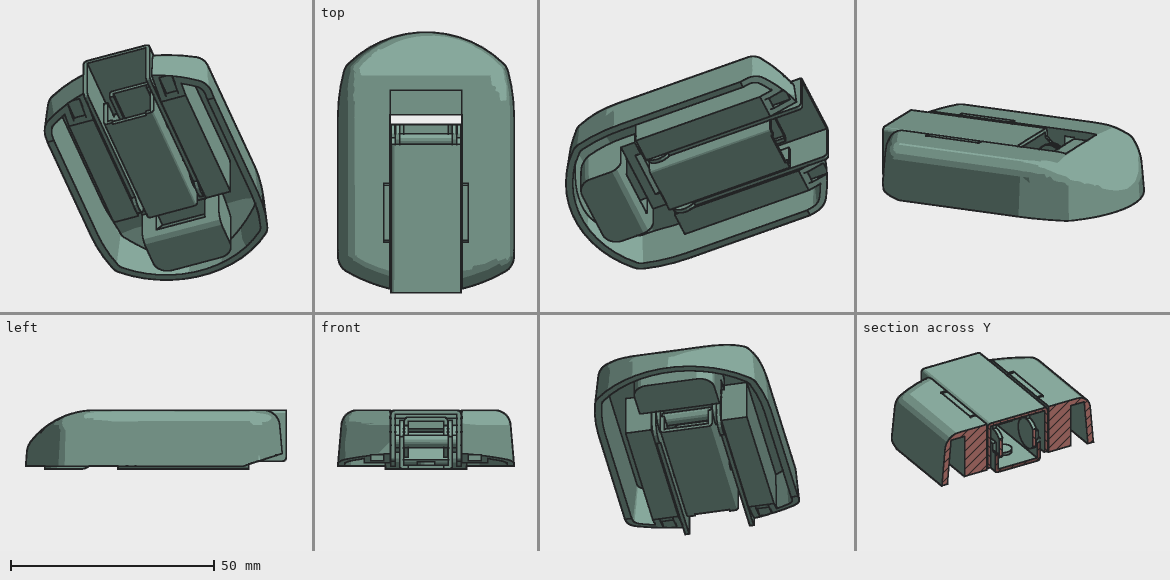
import cadquery as cq
import math

HALF_WIDTH = 21.7
HEIGHT = 13.75
NOSE_Y = 21.1
FRONT_Y = -43.3
SIDE_FRONT_Y = -33.8
DRAFT = 5.0
NOSE_R = 27.3
FRONT_R = 38.0
REAR_SIDE_R = 44.0
CORNER_R = 4.4
CAVITY_CORNER_R = 3.0
TOP_EDGE_R = 4.0
NOSE_DROP_R = 20.0
NOSE_DROP_Y = 4.0
WALL = 1.7
FRONT_CUT_Y = -32.5
FRONT_CUT_ANGLE = 18.0
MARGIN = 5.0

CHANNEL_HALF = 8.8
LIP_Y = 0.75
FLOOR_REAR_Y = 6.8
FLOOR_Z = 11.7
LIP_BOTTOM_Z = 9.2
RAIL_OUTER = 15.2
RAIL_REAR_Y = -1.8
RAIL_BOTTOM_Z = 0.8
RAIL_POCKET_INNER = 10.37
RAIL_POCKET_OUTER = 13.6
RAIL_POCKET_BOTTOM_Z = 1.35
RAIL_POCKET_TOP_Z = 2.75
RAIL_POCKET_END_Y = -30.0
FOOT_BOTTOM_Z = -0.75
FOOT_HALF = 10.0
FOOT_FRONT_Y = 4.45
FOOT_REAR_Y = 16.4
FOOT_CORNER_R = 3.7
FOOT_EDGE_R = 3.0
RAMP_HALF = 6.3
RAMP_BOTTOM_Z = 1.4
RAMP_TOP_Z = 8.1
RAMP_TOP_Y = 9.0
LIP_SLANT_Z = 8.4
LIP_SLANT_Y = 2.2

LUG_OUTER = RAIL_POCKET_INNER
LUG_REAR_Y = -16.1
LUG_FRONT_Y = -30.5
LUG_DEPTH = 2.0
LUG_EDGE = 0.4

SHEET = 1.0
PIN_R = 1.55
FRONT_PIN_Z = 6.05
REAR_PIN_Y = -5.45
REAR_PIN_Z = 6.7
FRONT_PIN_Y = -24.0
EAR_Y = -4.9
EAR_R = 3.3

LEVER_HALF = 8.6
LEVER_FRONT_Y = -43.0
LEVER_TOP_REAR_Y = -6.5
LEVER_BOTTOM_Z = 1.15
LEVER_EDGE_R = 1.0
LEVER_LOBE_BOTTOM_Z = -0.1

STRAP_HALF = 6.5
STRAP_BEND_Z = 5.4
STRAP_NOTCH_HALF = 4.35
STRAP_NOTCH_DEPTH = 0.5
STRAP_FRONT_Y = SIDE_FRONT_Y
STRAP_ARM_REAR_Y = -12.0
STRAP_ARM_Z = 7.15
STRAP_ARM_EAR_R = 5.15
STRAP_EDGE_R = 0.9
RIVET_R = 2.15
RIVET_HEIGHT = 0.8
RIVET_Y = -18.0

LINER_HALF = 5.3
LINER_TOP_Z = 12.0
LINER_LEG_Z = 10.0
LINER_FRONT_Y = -33.0
LINER_EAR_Y = -14.0
LINER_EAR_R = 3.95
LINER_EDGE_R = 0.8


def block(x0, x1, y0, y1, z0, z1):
    """Box between two opposite corners."""
    return cq.Workplane("XY").box(x1 - x0, y1 - y0, z1 - z0, centered=False).translate((x0, y0, z0))


def mirrored(body):
    """Body together with its mirror image across the YZ plane."""
    return body.union(body.mirror("YZ"))


def side_plate(outline, x_inner):
    """One sheet cut to a YZ outline, standing on the +X side."""
    return outline.extrude(SHEET).translate((x_inner, 0, 0))


def disc(y, z, radius, x0, x1):
    """Round bar along X."""
    return cq.Workplane("YZ").center(y, z).circle(radius).extrude(x1 - x0).translate((x0, 0, 0))


def drafted_prism(inset, corner_r, height):
    """Plan outline, moved in by `inset` and extruded up with the wall draft."""
    half = HALF_WIDTH - inset
    nose_r = NOSE_R - inset
    front_r = FRONT_R - inset
    side_r = REAR_SIDE_R - inset
    nose_centre = NOSE_Y - NOSE_R
    front_centre = FRONT_Y + FRONT_R
    side_centre = HALF_WIDTH - REAR_SIDE_R

    gap = math.hypot(side_centre, nose_centre)
    along = (side_r**2 - nose_r**2 + gap**2) / (2 * gap)
    off = math.sqrt(side_r**2 - along**2)
    dir_x = -side_centre / gap
    dir_y = nose_centre / gap
    rear_x = side_centre + along * dir_x - off * dir_y
    rear_y = along * dir_y + off * dir_x
    side_angle = math.asin(rear_y / side_r) / 2
    side_mid = (side_centre + side_r * math.cos(side_angle), side_r * math.sin(side_angle))
    corner_y = front_centre - math.sqrt(front_r**2 - half**2)

    outline = (
        cq.Workplane("XY")
        .moveTo(half, corner_y)
        .lineTo(half, 0)
        .threePointArc(side_mid, (rear_x, rear_y))
        .threePointArc((0, NOSE_Y - inset), (-rear_x, rear_y))
        .threePointArc((-side_mid[0], side_mid[1]), (-half, 0))
        .lineTo(-half, corner_y)
        .threePointArc((0, FRONT_Y + inset), (half, corner_y))
        .close()
    )
    sharp = outline.extrude(1.0)
    corners = sharp.edges("|Z").edges(cq.selectors.BoxSelector(
        (-2 * half, LIP_Y, -1), (2 * half, NOSE_Y, 2)))
    rounded = corners.fillet(corner_r)
    corners = rounded.edges("|Z").edges(cq.selectors.BoxSelector(
        (-2 * half, FRONT_Y, -1), (2 * half, SIDE_FRONT_Y + inset, 2)))
    rounded = corners.fillet(corner_r)
    base = rounded.faces("<Z").wires().val()
    return cq.Workplane(cq.Solid.extrudeLinear(base, [], cq.Vector(0, 0, height), DRAFT))


def nose_curve(body, inset):
    """Round the top of the body down towards the nose."""
    top = HEIGHT - inset
    radius = NOSE_DROP_R - inset
    drop = radius - math.sqrt(radius**2 - (NOSE_Y - NOSE_DROP_Y) ** 2)
    diagonal = math.radians(45)
    cutter = (
        cq.Workplane("YZ")
        .moveTo(NOSE_DROP_Y, top)
        .threePointArc(
            (NOSE_DROP_Y + radius * math.sin(diagonal), top - radius * (1 - math.cos(diagonal))),
            (NOSE_Y, top - drop),
        )
        .lineTo(NOSE_Y + MARGIN, top - drop)
        .lineTo(NOSE_Y + MARGIN, top + MARGIN)
        .lineTo(NOSE_DROP_Y, top + MARGIN)
        .close()
        .extrude(HALF_WIDTH + MARGIN, both=True)
    )
    return body.cut(cutter)


def make_shell_shape():
    """Outer body with its rounded upper edge."""
    body = nose_curve(drafted_prism(0, CORNER_R, HEIGHT), 0)
    top = body.faces(">Z").val()
    slope = body.faces(cq.selectors.NearestToPointSelector((0, 12.0, HEIGHT - 1.6))).val()
    shared = [e for e in top.Edges() if any(e.isSame(o) for o in slope.Edges())]
    rim = [e for e in top.Edges() + slope.Edges() if not any(e.isSame(o) for o in shared)]
    return body.newObject(rim).fillet(TOP_EDGE_R)


def make_foot():
    """Rear block with the foot under the rim, the floor lip and the ramp below it."""
    foot = block(-FOOT_HALF, FOOT_HALF, FOOT_FRONT_Y, FOOT_REAR_Y, FOOT_BOTTOM_Z, HEIGHT)
    foot = foot.edges("|Z and >Y").fillet(FOOT_CORNER_R)
    foot = foot.edges("<Y and <Z").fillet(FOOT_EDGE_R)
    lip = block(-FOOT_HALF, FOOT_HALF, LIP_Y, FOOT_FRONT_Y, LIP_SLANT_Z, HEIGHT)
    recess = (
        cq.Workplane("YZ")
        .polyline([
            (LIP_Y, LIP_SLANT_Z),
            (LIP_Y, LIP_BOTTOM_Z),
            (LIP_SLANT_Y, LIP_SLANT_Z),
            (RAMP_TOP_Y, RAMP_TOP_Z),
            (FOOT_FRONT_Y, RAMP_BOTTOM_Z),
            (LIP_Y, RAMP_BOTTOM_Z),
        ])
        .close()
        .extrude(RAMP_HALF, both=True)
    )
    return foot.union(lip).cut(recess)


def make_housing():
    outer = make_shell_shape()
    cavity = nose_curve(drafted_prism(WALL, CAVITY_CORNER_R, HEIGHT - WALL), WALL)

    rails = block(-RAIL_OUTER, RAIL_OUTER, FRONT_Y, RAIL_REAR_Y, RAIL_BOTTOM_Z, HEIGHT)
    foot = make_foot()
    above_foot = block(-FOOT_HALF, FOOT_HALF, LIP_Y, NOSE_Y, 0, HEIGHT)
    tongue = foot.cut(block(-FOOT_HALF, FOOT_HALF, LIP_Y, NOSE_Y, 0, HEIGHT))
    body = outer.cut(cavity.cut(rails).cut(foot.intersect(above_foot)))
    body = body.union(tongue)

    channel = block(-CHANNEL_HALF, CHANNEL_HALF, FRONT_Y - MARGIN, LIP_Y, -MARGIN, HEIGHT + MARGIN)
    floor = block(-CHANNEL_HALF, CHANNEL_HALF, LIP_Y, FLOOR_REAR_Y, FLOOR_Z, HEIGHT + MARGIN)
    body = body.cut(channel).cut(floor)

    reach = NOSE_Y - FRONT_Y
    body = body.cut(
        cq.Workplane("YZ")
        .polyline([
            (FRONT_CUT_Y, 0),
            (FRONT_CUT_Y - reach, reach * math.tan(math.radians(FRONT_CUT_ANGLE))),
            (FRONT_CUT_Y - reach, -MARGIN),
            (FRONT_CUT_Y, -MARGIN),
        ])
        .close()
        .extrude(HALF_WIDTH + MARGIN, both=True)
    )
    pocket = block(
        RAIL_POCKET_INNER, RAIL_POCKET_OUTER, FRONT_Y - MARGIN, RAIL_POCKET_END_Y,
        RAIL_POCKET_BOTTOM_Z, RAIL_POCKET_TOP_Z,
    )
    slot = block(CHANNEL_HALF, LUG_OUTER, LUG_FRONT_Y, LUG_REAR_Y, HEIGHT - LUG_DEPTH, HEIGHT)
    return body.cut(mirrored(pocket)).cut(mirrored(slot))


def make_lug(side):
    """Flush insert in one top slot; its upper ends are bevelled."""
    lug = block(CHANNEL_HALF, LUG_OUTER, LUG_FRONT_Y, LUG_REAR_Y, HEIGHT - LUG_DEPTH, HEIGHT)
    lug = lug.faces(">Z").edges("|X").chamfer(LUG_EDGE)
    return lug if side > 0 else lug.mirror("YZ")


def make_lever():
    """Inverted channel with a rounded lobe around the rear pin on each side."""
    lever = block(-LEVER_HALF, LEVER_HALF, LEVER_FRONT_Y, LEVER_TOP_REAR_Y, LEVER_BOTTOM_Z, HEIGHT)
    lever = lever.edges("|Y and >Z").fillet(LEVER_EDGE_R)
    lever = lever.edges("|X and <Y and <Z").fillet(LEVER_EDGE_R)
    inner = LEVER_HALF - SHEET
    lever = lever.cut(block(
        -inner, inner, LEVER_FRONT_Y, LEVER_TOP_REAR_Y, LEVER_BOTTOM_Z, HEIGHT - SHEET))

    lobe_z = LEVER_LOBE_BOTTOM_Z + EAR_R
    lobe = disc(EAR_Y, REAR_PIN_Z, EAR_R, inner, LEVER_HALF)
    lobe = lobe.union(disc(EAR_Y, lobe_z, EAR_R, inner, LEVER_HALF))
    lobe = lobe.union(block(inner, LEVER_HALF, EAR_Y - EAR_R, EAR_Y + EAR_R, lobe_z, REAR_PIN_Z))
    ear_top_z = REAR_PIN_Z + EAR_R
    neck = side_plate(
        cq.Workplane("YZ")
        .polyline([
            (EAR_Y, ear_top_z),
            (LEVER_TOP_REAR_Y, ear_top_z + EAR_Y - LEVER_TOP_REAR_Y),
            (LEVER_TOP_REAR_Y, REAR_PIN_Z),
            (EAR_Y, REAR_PIN_Z),
        ])
        .close(),
        inner,
    )
    lever = lever.union(mirrored(lobe.union(neck)))
    return lever.cut(make_pin(REAR_PIN_Y, REAR_PIN_Z, LEVER_HALF))


def make_strap():
    """Channel opening upwards: arms around the front pin, rear ears bent outwards."""
    base_top = FOOT_BOTTOM_Z + SHEET
    rear_y = EAR_Y + EAR_R
    inner = STRAP_HALF - SHEET
    bend_z = STRAP_BEND_Z
    strap = block(-STRAP_HALF, STRAP_HALF, STRAP_FRONT_Y, rear_y, FOOT_BOTTOM_Z, STRAP_ARM_Z)
    strap = strap.edges("|Y and <Z").fillet(STRAP_EDGE_R)
    strap = strap.cut(block(
        -STRAP_HALF, STRAP_HALF, STRAP_ARM_REAR_Y, rear_y, bend_z, STRAP_ARM_Z))
    strap = strap.union(disc(FRONT_PIN_Y, FRONT_PIN_Z, STRAP_ARM_EAR_R, -STRAP_HALF, STRAP_HALF))
    strap = strap.cut(block(-inner, inner, STRAP_FRONT_Y, rear_y, base_top, HEIGHT))

    bend = cq.Workplane("XZ").center(inner, bend_z).circle(SHEET).extrude(rear_y - STRAP_ARM_REAR_Y)
    strap = strap.cut(mirrored(bend.translate((0, rear_y, 0))))
    ear = disc(EAR_Y, REAR_PIN_Z, EAR_R, STRAP_HALF, STRAP_HALF + SHEET)
    strap = strap.union(mirrored(ear))

    strap = strap.cut(block(
        -STRAP_NOTCH_HALF, STRAP_NOTCH_HALF, STRAP_FRONT_Y, STRAP_FRONT_Y + STRAP_NOTCH_DEPTH,
        FOOT_BOTTOM_Z, base_top,
    ))
    rivet = cq.Workplane("XY").circle(RIVET_R).extrude(RIVET_HEIGHT)
    strap = strap.union(rivet.translate((0, RIVET_Y, base_top)))
    strap = strap.cut(make_pin(FRONT_PIN_Y, FRONT_PIN_Z, STRAP_HALF))
    return strap.cut(make_pin(REAR_PIN_Y, REAR_PIN_Z, LEVER_HALF))


def make_liner():
    """Small inverted channel under the lever, with a round ear at the rear of each leg."""
    ear_z = LINER_LEG_Z - LINER_EAR_R
    inner = LINER_HALF - SHEET
    liner = block(-LINER_HALF, LINER_HALF, LINER_FRONT_Y, LINER_EAR_Y, LINER_LEG_Z, LINER_TOP_Z)
    liner = liner.edges("|Y and >Z").fillet(LINER_EDGE_R)
    liner = liner.cut(block(
        -inner, inner, LINER_FRONT_Y, LINER_EAR_Y, LINER_LEG_Z, LINER_TOP_Z - SHEET))
    ear = disc(LINER_EAR_Y, ear_z, LINER_EAR_R, inner, LINER_HALF)
    ear = ear.union(block(
        inner, LINER_HALF, LINER_EAR_Y - SHEET, LINER_EAR_Y, ear_z, LINER_LEG_Z + SHEET))
    return liner.union(mirrored(ear))


def make_pin(y, z, half_length):
    return disc(y, z, PIN_R, -half_length, half_length)


housing = make_housing()
lever = make_lever()
strap = make_strap()
liner = make_liner()
rear_pin = make_pin(REAR_PIN_Y, REAR_PIN_Z, LEVER_HALF)
front_pin = make_pin(FRONT_PIN_Y, FRONT_PIN_Z, LEVER_HALF - SHEET)
lugs = [make_lug(side) for side in (-1, 1)]

result = cq.Compound.makeCompound([
    housing.val(),
    lever.val(),
    strap.val(),
    liner.val(),
    rear_pin.val(),
    front_pin.val(),
    *[lug.val() for lug in lugs],
])